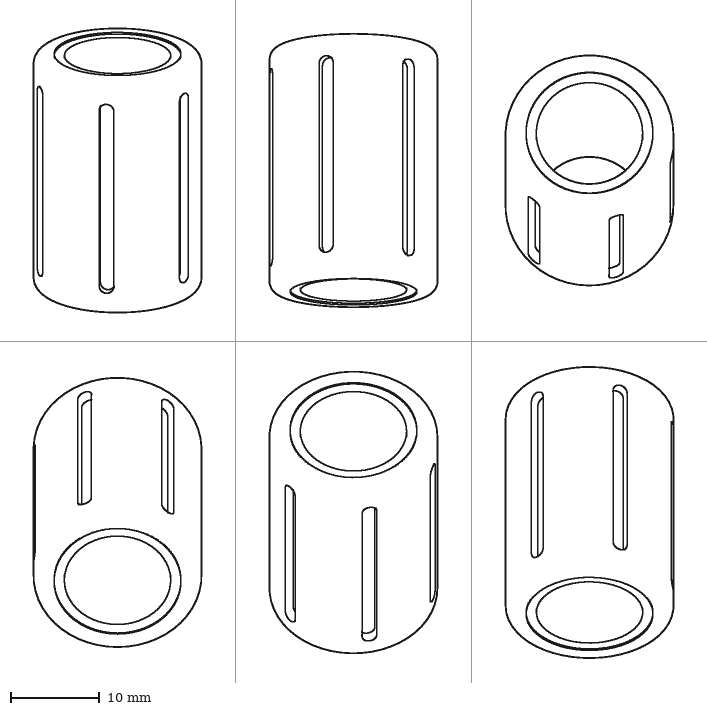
import cadquery as cq

height = 28.0
outer_diameter = 19.0
bore_diameter = 12.0
rim_radius = 1.18

recess_diameter = 14.35
recess_depth = 0.2

slot_count = 6
slot_length = 22.68
slot_width = 1.68
slot_depth = 1.2

outer_radius = outer_diameter / 2
slot_floor_radius = outer_radius - slot_depth


def make_body():
    """Solid cylinder with rounded rims, standing on Z = 0."""
    body = cq.Workplane("XY").circle(outer_radius).extrude(height)
    return body.faces("<Z or >Z").edges().fillet(rim_radius)


def make_bore():
    """Through bore together with the recess at both ends."""
    bore = cq.Workplane("XY").circle(bore_diameter / 2).extrude(height)
    for base in (0, height - recess_depth):
        recess = cq.Workplane("XY", origin=(0, 0, base)).circle(recess_diameter / 2).extrude(recess_depth)
        bore = bore.union(recess)
    return bore


def make_slot_cutter(angle):
    """Round-ended upright slot with a flat floor, turned about Z from the -Y side."""
    cutter = (
        cq.Workplane("XZ", origin=(0, -slot_floor_radius, height / 2))
        .slot2D(slot_length, slot_width, 90)
        .extrude(2 * slot_depth)
    )
    return cutter.rotate((0, 0, 0), (0, 0, 1), angle)


result = make_body().cut(make_bore())
for index in range(slot_count):
    result = result.cut(make_slot_cutter(index * 360 / slot_count))